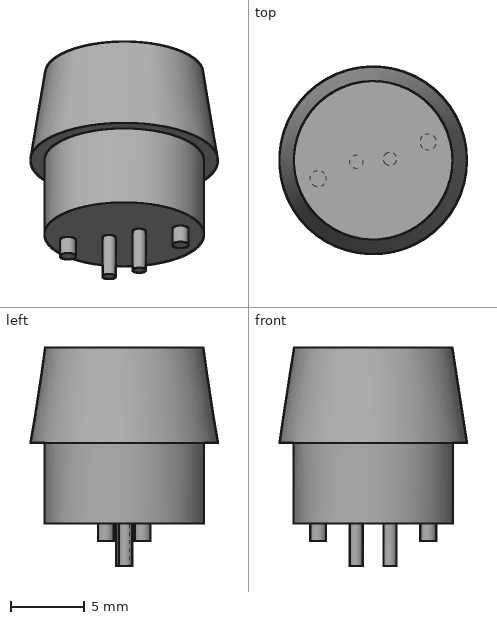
import cadquery as cq

cap_base_diameter = 12.8
cap_top_diameter = 10.8
cap_height = 6.5
body_diameter = 10.9
body_height = 5.5

contact_diameter = 0.9
contact_length = 2.9
contact_offset_x = 1.15
contact_offset_y = 0.1
contact_centers = [
    (-contact_offset_x, -contact_offset_y),
    (contact_offset_x, contact_offset_y),
]

peg_diameter = 1.1
peg_length = 1.2
peg_offset_x = 3.75
peg_offset_y = 1.25
peg_centers = [
    (-peg_offset_x, -peg_offset_y),
    (peg_offset_x, peg_offset_y),
]


def make_cap():
    """Tapered cap with its wide face on the joint plane."""
    return (
        cq.Workplane("XY")
        .circle(cap_base_diameter / 2)
        .workplane(offset=cap_height)
        .circle(cap_top_diameter / 2)
        .loft(ruled=True)
    )


def make_body():
    """Straight cylindrical body hanging below the cap."""
    return cq.Workplane("XY").circle(body_diameter / 2).extrude(-body_height)


def make_pins(centers, diameter, length):
    """Round pins pointing down from the underside of the body."""
    return (
        cq.Workplane("XY", origin=(0, 0, -body_height))
        .pushPoints(centers)
        .circle(diameter / 2)
        .extrude(-length)
    )


contacts = make_pins(contact_centers, contact_diameter, contact_length)
pegs = make_pins(peg_centers, peg_diameter, peg_length)

result = make_cap().union(make_body()).union(contacts).union(pegs)